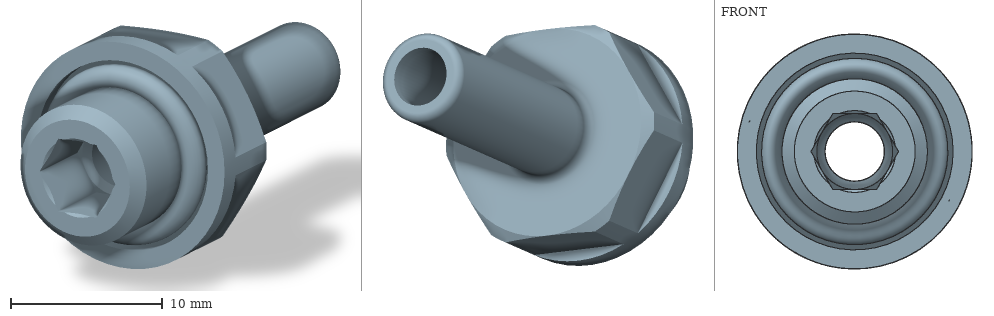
import cadquery as cq
import math

total_length = 30.0

flange_front = 6.0
hex_front = 7.5
hex_back = 12.0

plug_diameter = 9.6
plug_chamfer = 0.8

flange_diameter = 15.5
hex_across_flats = 14.0
hex_chamfer_angle = 30.0

stem_diameter = 6.0
stem_fillet = 0.5

bore_diameter = 3.9
socket_across_flats = 5.0
socket_depth = 5.0
socket_entry_diameter = 5.4
drill_tip_angle = 120.0

ring_outer_diameter = 12.3
groove_outer_diameter = 13.0
ring_front = 5.3
ring_section = 1.8

ring_back = ring_front + ring_section


def cylinder(diameter, start, end):
    """Solid cylinder along Y between two stations."""
    return cq.Workplane("XZ", origin=(0, start, 0)).circle(diameter / 2).extrude(start - end)


def hexagon(across_flats, start, end):
    """Hexagonal prism along Y with two corners on the X axis."""
    across_corners = across_flats / math.cos(math.pi / 6)
    return cq.Workplane("XZ", origin=(0, start, 0)).polygon(6, across_corners).extrude(start - end)


def revolve_about_y(profile):
    return profile.close().revolve(360, (0, 0, 0), (0, 1, 0))


def make_blank():
    """Turned outline of the fitting, with the hexagon still round."""
    plug_radius = plug_diameter / 2
    flange_radius = flange_diameter / 2
    stem_radius = stem_diameter / 2
    hex_radius = hex_across_flats / 2
    hex_chamfer_length = (flange_radius - hex_radius) * math.tan(math.radians(hex_chamfer_angle))
    fillet_middle = stem_fillet * (1 - math.sqrt(0.5))
    profile = (
        cq.Workplane("XY")
        .lineTo(plug_radius - plug_chamfer, 0)
        .lineTo(plug_radius, plug_chamfer)
        .lineTo(plug_radius, flange_front)
        .lineTo(flange_radius, flange_front)
        .lineTo(flange_radius, hex_back - hex_chamfer_length)
        .lineTo(hex_radius, hex_back)
        .lineTo(stem_radius + stem_fillet, hex_back)
        .threePointArc(
            (stem_radius + fillet_middle, hex_back + fillet_middle),
            (stem_radius, hex_back + stem_fillet),
        )
        .lineTo(stem_radius, total_length - stem_fillet)
        .threePointArc(
            (stem_radius - fillet_middle, total_length - fillet_middle),
            (stem_radius - stem_fillet, total_length),
        )
        .lineTo(0, total_length)
    )
    return revolve_about_y(profile)


def make_hex_waste():
    """Material outside the wrench flats, behind the flange."""
    return cylinder(2 * flange_diameter, hex_front, hex_back).cut(
        hexagon(hex_across_flats, hex_front, hex_back)
    )


def make_groove():
    """Annular groove in the flange face that seats the sealing ring."""
    return cylinder(groove_outer_diameter, flange_front, ring_back).cut(
        cylinder(plug_diameter, flange_front, ring_back)
    )


def make_socket():
    """Hexagon socket with a 45 degree entry chamfer and a conical drilled bottom."""
    entry_radius = socket_entry_diameter / 2
    entry_cone = revolve_about_y(
        cq.Workplane("XY").lineTo(entry_radius, 0).lineTo(0, entry_radius)
    )
    drill_radius = socket_across_flats / 2
    tip_length = drill_radius / math.tan(math.radians(drill_tip_angle / 2))
    drill_tip = revolve_about_y(
        cq.Workplane("XY", origin=(0, socket_depth, 0)).lineTo(drill_radius, 0).lineTo(0, tip_length)
    )
    return hexagon(socket_across_flats, 0, socket_depth).union(entry_cone).union(drill_tip)


def make_fitting():
    bore = cylinder(bore_diameter, 0, total_length)
    return make_blank().cut(make_hex_waste()).cut(make_groove()).cut(make_socket()).cut(bore)


def make_sealing_ring():
    """O-ring that sits around the plug and rests on the groove floor."""
    section_radius = ring_section / 2
    centre_radius = ring_outer_diameter / 2 - section_radius
    ring = cq.Solid.makeTorus(
        centre_radius,
        section_radius,
        cq.Vector(0, ring_front + section_radius, 0),
        cq.Vector(0, 1, 0),
    )
    return cq.Workplane(obj=ring)


sealing_ring = make_sealing_ring()
fitting = make_fitting().cut(sealing_ring)

result = cq.Compound.makeCompound([fitting.val(), sealing_ring.val()])